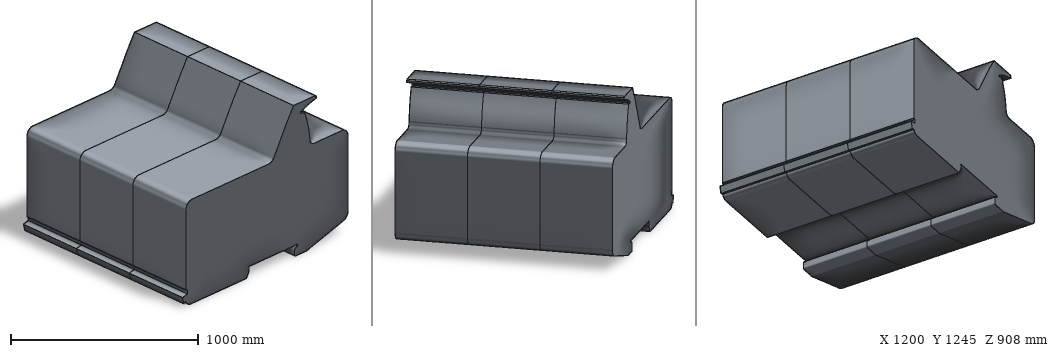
import cadquery as cq
import math

MODULE_COUNT = 3
ROW_WIDTH = 1200.0
MODULE_WIDTH = ROW_WIDTH / MODULE_COUNT
TOTAL_DEPTH = 1245.0
TOTAL_HEIGHT = 908.0

BACK_Y = TOTAL_DEPTH / 2
FRONT_Y = -596.0
BLOCK_TOP = 625.0
RAMP_HEIGHT = 90.0
RAMP_FOOT_Y = 308.0
EDGE_RADIUS = 47.0
FRONT_BASE_RADIUS = 36.0

RECESS_DEPTH = 10.0
RECESS_BOTTOM = 27.0
RECESS_TOP = 91.0
RECESS_MOUTH_TOP = 96.0
RECESS_Y = FRONT_Y + RECESS_DEPTH

LIP_TIP_Y = -TOTAL_DEPTH / 2
LIP_TIP_Z = 61.0
LIP_THICKNESS = 42.0
LIP_LENGTH = 50.0
LIP_TILT = math.radians(14)

SLOT_TOP = 65.0
SLOT_BACK_Y = 243.0
SLOT_FRONT_Y = -121.0
HOOK_Y = 220.0
HOOK_TOP = 55.0
HOOK_NOSE_Z = 34.0
SLOT_FLARE_Z = 36.0
SLOT_FLARE_Y = -142.0
HOOK_TOE_RADIUS = 7.0

HANDLE_FRONT_Y = 213.0
HANDLE_BEND = (162.0, 825.0)
HANDLE_FOOT_Y = 51.0
HANDLE_TIP_Y = 383.0
HANDLE_TIP_Z = 890.0
TIP_CHAMFER = 6.0
NOTCH_START = (331.0, 875.0)
NOTCH_MIDDLE = (298.0, 864.0)
NOTCH_END = (270.0, 848.0)
NECK_TOP = (294.0, 839.0)
NECK_MIDDLE = (320.0, 758.0)
NECK_FOOT_Y = 336.0
NECK_FOOT_Z = 660.0
NECK_RADIUS = 31.0


def profile(start_y, start_z):
    """Start an outline in the YZ plane."""
    return cq.Workplane("YZ").moveTo(start_y, start_z)


def edge_along_x(solid, y, z):
    """Select the edge along X that passes through (y, z)."""
    middle = (MODULE_WIDTH / 2, y, z)
    return solid.edges(cq.selectors.NearestToPointSelector(middle))


def round_edge(solid, y, z, radius):
    """Round the edge along X that passes through (y, z)."""
    return edge_along_x(solid, y, z).fillet(radius)


def make_block():
    block = (
        profile(BACK_Y, RAMP_HEIGHT)
        .lineTo(BACK_Y, BLOCK_TOP)
        .lineTo(FRONT_Y, BLOCK_TOP)
        .lineTo(FRONT_Y, 0)
        .lineTo(RAMP_FOOT_Y, 0)
        .close()
        .extrude(MODULE_WIDTH)
    )
    block = round_edge(block, BACK_Y, RAMP_HEIGHT, EDGE_RADIUS)
    block = round_edge(block, BACK_Y, BLOCK_TOP, EDGE_RADIUS)
    block = round_edge(block, FRONT_Y, BLOCK_TOP, EDGE_RADIUS)
    return round_edge(block, FRONT_Y, 0, FRONT_BASE_RADIUS)


def make_front_recess():
    return (
        profile(RECESS_Y, RECESS_BOTTOM)
        .lineTo(RECESS_Y, RECESS_TOP)
        .lineTo(FRONT_Y, RECESS_MOUTH_TOP)
        .lineTo(FRONT_Y, RECESS_BOTTOM)
        .close()
        .extrude(MODULE_WIDTH)
    )


def make_lip():
    along_y = LIP_LENGTH * math.cos(LIP_TILT)
    along_z = LIP_LENGTH * math.sin(LIP_TILT)
    across_y = LIP_THICKNESS * math.sin(LIP_TILT)
    across_z = -LIP_THICKNESS * math.cos(LIP_TILT)
    return (
        profile(LIP_TIP_Y, LIP_TIP_Z)
        .line(along_y, along_z)
        .line(across_y, across_z)
        .line(-along_y, -along_z)
        .close()
        .extrude(MODULE_WIDTH)
    )


def make_rail_slot():
    return (
        profile(SLOT_BACK_Y, SLOT_TOP)
        .lineTo(SLOT_FRONT_Y, SLOT_TOP)
        .lineTo(SLOT_FRONT_Y, SLOT_FLARE_Z)
        .lineTo(SLOT_FLARE_Y, 0)
        .lineTo(HOOK_Y, 0)
        .lineTo(HOOK_Y, HOOK_NOSE_Z)
        .tangentArcPoint((SLOT_BACK_Y, HOOK_TOP), relative=False)
        .close()
        .extrude(MODULE_WIDTH)
    )


def make_handle():
    handle = (
        profile(HANDLE_FOOT_Y, BLOCK_TOP)
        .lineTo(*HANDLE_BEND)
        .lineTo(HANDLE_FRONT_Y, TOTAL_HEIGHT)
        .lineTo(HANDLE_TIP_Y, TOTAL_HEIGHT)
        .lineTo(HANDLE_TIP_Y, HANDLE_TIP_Z)
        .lineTo(*NOTCH_START)
        .threePointArc(NOTCH_MIDDLE, NOTCH_END)
        .lineTo(NOTCH_END[0], NECK_TOP[1])
        .lineTo(*NECK_TOP)
        .threePointArc(NECK_MIDDLE, (NECK_FOOT_Y, NECK_FOOT_Z))
        .lineTo(NECK_FOOT_Y, BLOCK_TOP)
        .close()
        .extrude(MODULE_WIDTH)
    )
    return edge_along_x(handle, HANDLE_TIP_Y, TOTAL_HEIGHT).chamfer(TIP_CHAMFER)


def make_module():
    module = make_block().union(make_handle())
    module = round_edge(module, HANDLE_FOOT_Y, BLOCK_TOP, EDGE_RADIUS)
    module = round_edge(module, NECK_FOOT_Y, BLOCK_TOP, NECK_RADIUS)
    module = module.cut(make_rail_slot())
    module = round_edge(module, HOOK_Y, 0, HOOK_TOE_RADIUS)
    return module.cut(make_front_recess()).union(make_lip())


module_shape = make_module()
modules = []
for index in range(MODULE_COUNT):
    left_x = index * MODULE_WIDTH - ROW_WIDTH / 2
    modules.append(module_shape.translate((left_x, 0, 0)).val())

result = cq.Compound.makeCompound(modules)